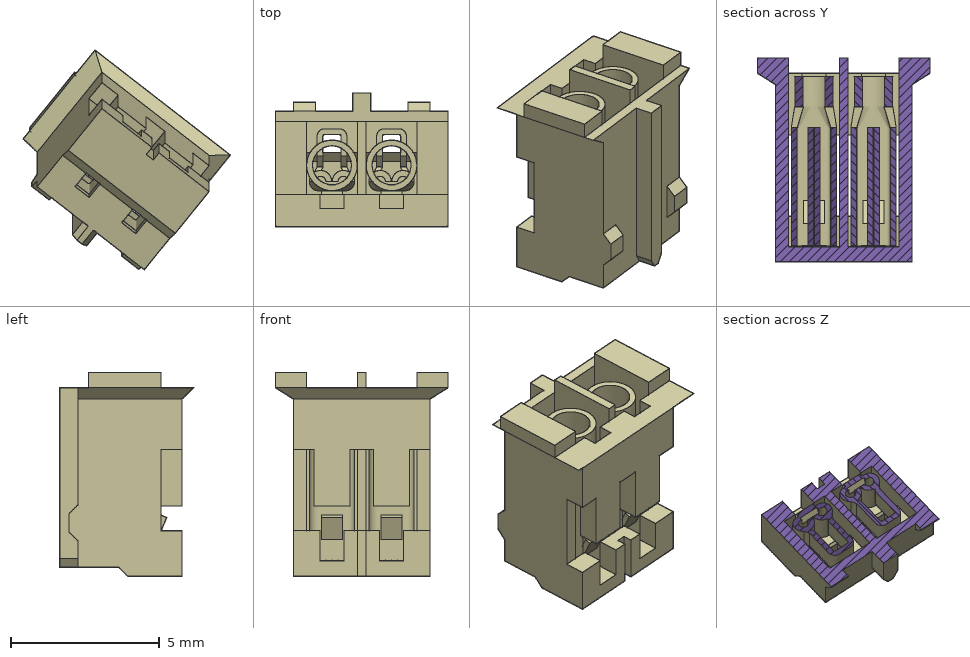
import cadquery as cq
import math


body_half_width = 2.295
body_rear_y = 3.5
underside_step_y = 1.82
underside_step = 0.3

total_height = 6.85
rim_width = 5.8
rim_half_width = rim_width / 2
rim_overhang_front = 0.39
rim_bottom_z = 5.95
rim_top_z = 6.335

pitch = 2.0
web_thickness = 0.3
cavity_width = pitch - web_thickness
cavity_front_y = 0.705
cavity_rear_y = 3.15
cavity_floor_z = 0.515
cavity_step_y = 1.81
rear_floor_z = cavity_floor_z + underside_step
rear_floor_y = cavity_step_y + underside_step
pad_inner_x = pitch / 2 + cavity_width / 2
pole_centers = [-pitch / 2, pitch / 2]

window_bottom_z = 1.54
window_top_z = 4.26
tongue_width = 1.205
tongue_bottom_z = 2.355
slot_width = 0.795
notch_front_y = 0.23
notch_bottom_z = window_top_z
groove_depth = 0.31

key_half_width = 0.31
key_rear_y = 4.11
key_chamfer_height = 0.3
key_chamfer_width = 0.2
bump_width = 0.75
bump_height = 0.3
bump_bottom_z = 1.19
bump_top_z = 2.405

tube_diameter = 1.7
bore_diameter = 1.3
sheet = (tube_diameter - bore_diameter) / 2
tube_y = 1.68
tube_top_z = 6.235
tube_bottom_z = 5.205
crimp_top_z = 4.52
crimp_bottom_z = 0.54
crimp_half_width = 0.76
crimp_front_y = 0.82
crimp_corner_radius = 0.31
crimp_side_y = crimp_front_y + crimp_corner_radius
roll_gap = 0.015
tab_width = 0.705
tab_root_z = 1.25
tab_tip_y = 0.515
tab_tip_z = 1.98
contact_inner_half_width = 0.3
contact_half_width = contact_inner_half_width + sheet
contact_rear_y = 2.905
contact_inner_rear_y = contact_rear_y - sheet
contact_corner_radius = 0.255
contact_top_z = 2.465
contact_slope_y = 1.985
contact_slope = 0.34
leg_rise_y = 1.62
leg_front_y = 1.37
leg_flare = 0.14


def block(x0, x1, y0, y1, z0, z1):
    """Box between two opposite corners."""
    return cq.Workplane("XY").box(x1 - x0, y1 - y0, z1 - z0, centered=False).translate((x0, y0, z0))


def side_prism(points, x0, x1):
    """Prism along X with an outline given as (y, z) points."""
    return cq.Workplane("YZ").polyline(points).close().extrude(x1 - x0).translate((x0, 0, 0))


def housing_body():
    return side_prism(
        [
            (0, 0),
            (underside_step_y, 0),
            (underside_step_y + underside_step, underside_step),
            (body_rear_y, underside_step),
            (body_rear_y, rim_bottom_z),
            (0, rim_bottom_z),
        ],
        -body_half_width,
        body_half_width,
    )


def flared_rim():
    """Rim that widens to the front and to both sides; its rear face stays flat."""

    def rectangle(half_width, front_y, z):
        corners = [
            cq.Vector(-half_width, front_y, z),
            cq.Vector(half_width, front_y, z),
            cq.Vector(half_width, body_rear_y, z),
            cq.Vector(-half_width, body_rear_y, z),
        ]
        return cq.Wire.makePolygon(corners, close=True)

    lower = rectangle(body_half_width, 0, rim_bottom_z)
    upper = rectangle(rim_half_width, -rim_overhang_front, rim_top_z)
    return cq.Workplane(cq.Solid.makeLoft([lower, upper], True))


def top_blocks():
    """Two end pads and the top of the web between the poles."""
    span = (cavity_front_y, cavity_rear_y, rim_bottom_z, total_height)
    web = block(-web_thickness / 2, web_thickness / 2, *span)
    pad_span = (cavity_front_y, cavity_rear_y, rim_top_z, total_height)
    right_pad = block(pad_inner_x, rim_half_width, *pad_span)
    left_pad = block(-rim_half_width, -pad_inner_x, *pad_span)
    return web.union(right_pad).union(left_pad)


def rear_key():
    tip_half_width = key_half_width - key_chamfer_width
    chamfer_top_z = underside_step + key_chamfer_height
    outline = [
        (-tip_half_width, underside_step),
        (tip_half_width, underside_step),
        (key_half_width, chamfer_top_z),
        (key_half_width, rim_top_z),
        (-key_half_width, rim_top_z),
        (-key_half_width, chamfer_top_z),
    ]
    key = cq.Workplane("XZ").polyline(outline).close().extrude(body_rear_y - key_rear_y)
    return key.translate((0, body_rear_y, 0))


def latch_bump(x0):
    return side_prism(
        [
            (body_rear_y, bump_bottom_z),
            (body_rear_y + bump_height, bump_bottom_z + bump_height),
            (body_rear_y + bump_height, bump_top_z - bump_height),
            (body_rear_y, bump_top_z),
        ],
        x0,
        x0 + bump_width,
    )


def front_window():
    """Recess across the whole front, less the tongue that hangs down before each pole."""
    window = block(
        -body_half_width, body_half_width, 0, cavity_front_y, window_bottom_z, window_top_z
    )
    for x in pole_centers:
        tongue = block(
            x - tongue_width / 2, x + tongue_width / 2, 0, cavity_front_y, tongue_bottom_z, window_top_z
        )
        window = window.cut(tongue)
    return window


def pole_cavity(x):
    """Cavity with a stepped floor, its pin hole, the slot in the lip and the notch in the rim."""
    cavity = side_prism(
        [
            (cavity_front_y, cavity_floor_z),
            (cavity_step_y, cavity_floor_z),
            (rear_floor_y, rear_floor_z),
            (cavity_rear_y, rear_floor_z),
            (cavity_rear_y, total_height),
            (cavity_front_y, total_height),
        ],
        x - cavity_width / 2,
        x + cavity_width / 2,
    )
    pin_hole = block(
        x - contact_inner_half_width, x + contact_inner_half_width,
        rear_floor_y, contact_inner_rear_y, 0, rear_floor_z,
    )
    slot_sides = (x - slot_width / 2, x + slot_width / 2)
    lip_slot = block(*slot_sides, 0, cavity_front_y, cavity_floor_z, window_bottom_z)
    rim_notch = block(*slot_sides, notch_front_y, cavity_front_y, notch_bottom_z, rim_top_z)
    return cavity.union(pin_hole).union(lip_slot).union(rim_notch)


def make_housing():
    housing = housing_body().union(flared_rim()).union(top_blocks()).union(rear_key())
    for x0 in (-body_half_width, body_half_width - bump_width):
        housing = housing.union(latch_bump(x0))
    housing = housing.cut(front_window())
    for x in pole_centers:
        housing = housing.cut(pole_cavity(x))
    lip_groove = block(-web_thickness / 2, web_thickness / 2, 0, groove_depth, 0, window_bottom_z)
    return housing.cut(lip_groove)


def corner_middle(x, radius):
    """Middle of a front corner arc of the crimp, on the side given by the sign of x."""
    reach = crimp_half_width - crimp_corner_radius + radius * math.sqrt(0.5)
    return (math.copysign(reach, x), crimp_side_y - radius * math.sqrt(0.5))


def trough_outline(sketch):
    """Outer and inner front line of the crimp, from the left side round to the right side and back."""
    flat_half_width = crimp_half_width - crimp_corner_radius
    inner_radius = crimp_corner_radius - sheet
    inner_half_width = crimp_half_width - sheet
    inner_front_y = crimp_front_y + sheet
    outer = (
        sketch.moveTo(-crimp_half_width, crimp_side_y)
        .threePointArc(corner_middle(-1, crimp_corner_radius), (-flat_half_width, crimp_front_y))
        .lineTo(flat_half_width, crimp_front_y)
        .threePointArc(corner_middle(1, crimp_corner_radius), (crimp_half_width, crimp_side_y))
    )
    return (
        outer.lineTo(inner_half_width, crimp_side_y)
        .threePointArc(corner_middle(1, inner_radius), (flat_half_width, inner_front_y))
        .lineTo(-flat_half_width, inner_front_y)
        .threePointArc(corner_middle(-1, inner_radius), (-inner_half_width, crimp_side_y))
        .close()
    )


def rolled_wing(side):
    """Half ring that curls from one side of the trough in towards the middle."""
    outer_radius = (crimp_half_width - roll_gap / 2) / 2
    center_x = side * (crimp_half_width - outer_radius)
    height = crimp_top_z - crimp_bottom_z
    ring = cq.Workplane("XY").circle(outer_radius).circle(outer_radius - sheet).extrude(height)
    rear_half = block(-outer_radius, outer_radius, 0, outer_radius, 0, height)
    return ring.intersect(rear_half).translate((center_x, crimp_side_y, crimp_bottom_z))


def crimp():
    trough = trough_outline(cq.Workplane("XY")).extrude(crimp_top_z - crimp_bottom_z)
    trough = trough.translate((0, 0, crimp_bottom_z))
    return trough.union(rolled_wing(-1)).union(rolled_wing(1))


def tube():
    ring = cq.Workplane("XY").circle(tube_diameter / 2).circle(bore_diameter / 2)
    return ring.extrude(tube_top_z - tube_bottom_z).translate((0, tube_y, tube_bottom_z))


def tube_front_outline(sketch):
    """Front part of the tube wall, split into the same eight edges as the trough."""

    def on_circle(radius, fraction):
        half_angle = math.acos((tube_y - crimp_side_y) / radius)
        angle = half_angle * fraction
        return (radius * math.sin(angle), tube_y - radius * math.cos(angle))

    outer = tube_diameter / 2
    inner = bore_diameter / 2
    middles_and_ends = [(-2 / 3, -1 / 3), (0, 1 / 3), (2 / 3, 1)]
    sketch = sketch.moveTo(*on_circle(outer, -1))
    for middle, end in middles_and_ends:
        sketch = sketch.threePointArc(on_circle(outer, middle), on_circle(outer, end))
    sketch = sketch.lineTo(*on_circle(inner, 1))
    for middle, end in middles_and_ends:
        sketch = sketch.threePointArc(on_circle(inner, -middle), on_circle(inner, -end))
    return sketch.close()


def neck():
    """Front wall blending from the trough of the crimp up to the round tube."""
    lower = trough_outline(cq.Workplane("XY").workplane(offset=crimp_top_z)).val()
    upper = tube_front_outline(cq.Workplane("XY").workplane(offset=tube_bottom_z)).val()
    return cq.Workplane(cq.Solid.makeLoft([lower, upper], True))


def with_retaining_tab(terminal):
    """Lance a tab out of the front wall: a window, and the sheet from it leaning forward."""
    inner_front_y = crimp_front_y + sheet
    lean = math.atan2(crimp_front_y - tab_tip_y, tab_tip_z - tab_root_z)
    back_y = tab_tip_y + sheet * math.cos(lean)
    back_z = tab_tip_z + sheet * math.sin(lean)
    joint_z = back_z - (inner_front_y - back_y) / math.tan(lean)
    tab = side_prism(
        [
            (inner_front_y, tab_root_z),
            (crimp_front_y, tab_root_z),
            (tab_tip_y, tab_tip_z),
            (back_y, back_z),
            (inner_front_y, joint_z),
        ],
        -tab_width / 2,
        tab_width / 2,
    )
    window = block(-tab_width / 2, tab_width / 2, crimp_front_y, inner_front_y, tab_root_z, back_z)
    return terminal.cut(window).union(tab)


def contact_plan(half_width, rear_y, corner_radius):
    """Block that spans both legs, flared towards the crimp and rounded at the rear."""
    front_half_width = half_width + leg_flare
    outline = [
        (-front_half_width, leg_front_y),
        (front_half_width, leg_front_y),
        (half_width, leg_rise_y),
        (half_width, rear_y),
        (-half_width, rear_y),
        (-half_width, leg_rise_y),
    ]
    plan = cq.Workplane("XY").polyline(outline).close().extrude(contact_top_z - rear_floor_z)
    return plan.edges("|Z and >Y").fillet(corner_radius).translate((0, 0, rear_floor_z))


def pin_contact():
    """U-shaped strip round the pin hole, with legs that slope down to the crimp."""
    outer = contact_plan(contact_half_width, contact_rear_y, contact_corner_radius)
    inner = contact_plan(
        contact_inner_half_width, contact_inner_rear_y, contact_corner_radius - sheet
    )
    leg_low_z = contact_top_z - contact_slope
    above_legs = side_prism(
        [
            (contact_slope_y, contact_top_z),
            (contact_slope_y - contact_slope, leg_low_z),
            (leg_rise_y, leg_low_z),
            (leg_front_y, leg_low_z + leg_rise_y - leg_front_y),
            (leg_front_y, contact_top_z),
        ],
        -crimp_half_width,
        crimp_half_width,
    )
    return outer.cut(inner).cut(above_legs)


def make_terminal(x):
    terminal = with_retaining_tab(crimp()).union(neck()).union(tube()).union(pin_contact())
    return terminal.translate((x, 0, 0))


housing = make_housing()
terminals = [make_terminal(x) for x in pole_centers]

bodies = [body.solids().val() for body in (housing, *terminals)]

result = cq.Compound.makeCompound(bodies)